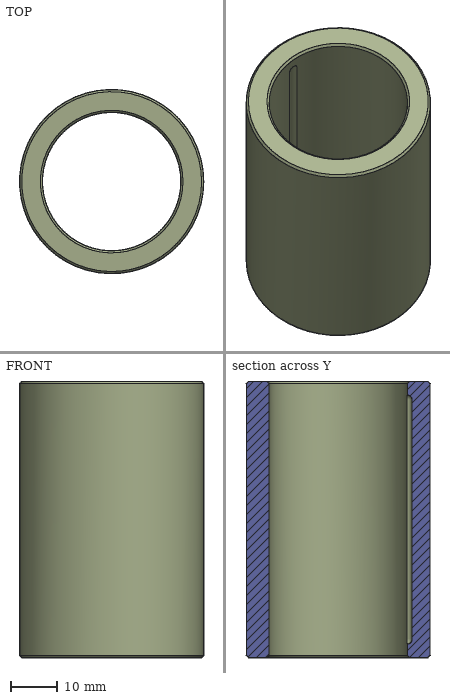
import cadquery as cq

length = 60.0
outer_diameter = length * 2 / 3
bore_diameter = 30.0
edge_chamfer = 0.5
groove_radius = 1.0
groove_end_margin = 3.0

sleeve = (
    cq.Workplane("XY")
    .circle(outer_diameter / 2)
    .circle(bore_diameter / 2)
    .extrude(length)
)

sleeve = sleeve.faces("<Z or >Z").edges().chamfer(edge_chamfer)

groove_bottom = groove_end_margin
groove_top = length - groove_end_margin
arc_offset = groove_radius * 0.5 ** 0.5
groove = (
    cq.Workplane("XZ")
    .moveTo(0, groove_bottom)
    .threePointArc(
        (arc_offset, groove_bottom + groove_radius - arc_offset),
        (groove_radius, groove_bottom + groove_radius),
    )
    .lineTo(groove_radius, groove_top - groove_radius)
    .threePointArc(
        (arc_offset, groove_top - groove_radius + arc_offset),
        (0, groove_top),
    )
    .close()
    .revolve(360, (0, 0, 0), (0, 1, 0))
    .translate((bore_diameter / 2, 0, 0))
)

result = sleeve.cut(groove)